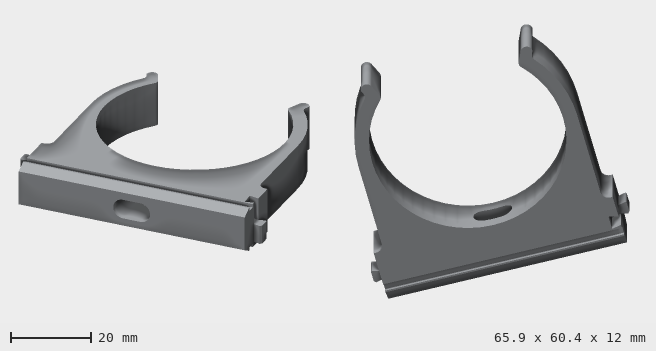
import cadquery as cq
import math


thickness = 12.0
base_width = 61.6
base_height = 14.0
half_thickness = thickness / 2
half_base = base_width / 2

bore_radius = 24.6
arm_thickness = 3.6
arm_radius = bore_radius + arm_thickness
bore_center_y = 38.6
shoulder_fillet = 2.0

total_height = 60.41
lip_radius = 1.5
lip_center_x = 20.6
lip_center_y = total_height - lip_radius
lead_in_angle = 21.5
throat_half_width = 17.6
throat_fillet = 1.2
lip_end_angle = -8.0
neck_x = 21.6
neck_top_y = 57.8
neck_top_fillet = 1.6
neck_bottom_fillet = 0.8

chamfer_length = 2.65
chamfer_depth = 1.4
groove_front = 3.1
groove_width = 1.85
groove_depth = 0.9

screw_slot_length = 10.0
screw_slot_height = 5.2

joint_y = 7.1
joint_neck_width = 2.5
tongue_tip_width = 3.4
tongue_reach = 2.15
tongue_height = 5.0
tongue_front_chamfer = 0.5
tongue_rear_chamfer = 0.25
socket_depth = 2.45
socket_back_width = 3.5

overlap = 0.5


def on_circle(center_x, center_y, radius, angle):
    """Point on a circle at an angle in degrees from +X."""
    turn = math.radians(angle)
    return (center_x + radius * math.cos(turn), center_y + radius * math.sin(turn))


def circle_y(radius, x):
    """Upper Y of a circle about the bore centre at a given X."""
    return bore_center_y + math.sqrt(radius**2 - x**2)


def make_body():
    """Base and arms: a symmetric outline extruded through the full thickness, with the bore cut out."""
    neck_bottom = (neck_x, circle_y(arm_radius, neck_x))
    neck_top = (neck_x, neck_top_y)
    neck_bottom_angle = math.degrees(math.atan2(neck_bottom[1] - bore_center_y, neck_x))
    lip_end = on_circle(lip_center_x, lip_center_y, lip_radius, lip_end_angle)
    lip_start_angle = 180 - lead_in_angle
    lip_start = on_circle(lip_center_x, lip_center_y, lip_radius, lip_start_angle)
    lip_middle_angle = (lip_start_angle + lip_end_angle) / 2
    throat = (throat_half_width, circle_y(bore_radius, throat_half_width))

    body = (
        cq.Workplane("XY")
        .workplane(offset=-half_thickness)
        .moveTo(0, 0)
        .lineTo(half_base, 0)
        .lineTo(half_base, base_height)
        .lineTo(arm_radius, base_height)
        .lineTo(arm_radius, bore_center_y)
        .threePointArc(on_circle(0, bore_center_y, arm_radius, neck_bottom_angle / 2), neck_bottom)
        .lineTo(*neck_top)
        .lineTo(*lip_end)
        .threePointArc(on_circle(lip_center_x, lip_center_y, lip_radius, lip_middle_angle), lip_start)
        .lineTo(*throat)
        .lineTo(0, throat[1])
        .mirrorY()
        .extrude(thickness)
    )
    bore = (
        cq.Workplane("XY")
        .workplane(offset=-half_thickness)
        .center(0, bore_center_y)
        .circle(bore_radius)
        .extrude(thickness)
    )
    body = body.cut(bore)
    rounded_corners = (
        ((arm_radius, base_height), shoulder_fillet),
        (neck_bottom, neck_bottom_fillet),
        (neck_top, neck_top_fillet),
        (throat, throat_fillet),
    )
    for (x, y), radius in rounded_corners:
        for side in (1, -1):
            body = fillet_vertical_edge(body, (side * x, y), radius)
    return body


def fillet_vertical_edge(body, point, radius):
    """Round the Z-parallel edge nearest to an XY point."""
    selector = cq.selectors.NearestToPointSelector((point[0], point[1], 0))
    return body.edges("|Z").edges(selector).fillet(radius)


def make_rail_cutter():
    """Chamfer wedge and groove of the top face, along the whole base."""
    wedge = (
        cq.Workplane("YZ")
        .polyline([
            (0, half_thickness - chamfer_depth),
            (chamfer_length, half_thickness),
            (0, half_thickness),
        ])
        .close()
        .extrude(half_base, both=True)
    )
    groove = (
        cq.Workplane("XY")
        .box(base_width, groove_width, 2 * groove_depth)
        .translate((0, groove_front + groove_width / 2, half_thickness))
    )
    return wedge.union(groove)


def make_screw_slot():
    """Slot running from the front face through to the bore."""
    return (
        cq.Workplane("XZ")
        .slot2D(screw_slot_length, screw_slot_height)
        .extrude(-bore_center_y)
    )


def make_tongue():
    """Dovetail tongue on the +X side, in the lower half of the thickness."""
    root_x = half_base - overlap
    tip_x = half_base + tongue_reach
    rear_tip = joint_y + tongue_tip_width / 2
    front_tip = joint_y - tongue_tip_width / 2
    rear_neck = joint_y + joint_neck_width / 2
    front_neck = joint_y - joint_neck_width / 2
    return (
        cq.Workplane("XY")
        .workplane(offset=-tongue_height)
        .polyline([
            (root_x, front_neck),
            (half_base, front_neck),
            (tip_x - tongue_front_chamfer, front_tip),
            (tip_x, front_tip + tongue_front_chamfer),
            (tip_x, rear_tip - tongue_rear_chamfer),
            (tip_x - tongue_rear_chamfer, rear_tip),
            (half_base, rear_neck),
            (root_x, rear_neck),
        ])
        .close()
        .extrude(tongue_height)
    )


def make_socket():
    """Dovetail socket on the +X side, open through the top face."""
    back_x = half_base - socket_depth
    mouth_x = half_base + overlap
    half_mouth = joint_neck_width / 2
    half_back = socket_back_width / 2
    return (
        cq.Workplane("XY")
        .polyline([
            (back_x, joint_y - half_back),
            (half_base, joint_y - half_mouth),
            (mouth_x, joint_y - half_mouth),
            (mouth_x, joint_y + half_mouth),
            (half_base, joint_y + half_mouth),
            (back_x, joint_y + half_back),
        ])
        .close()
        .extrude(half_thickness)
    )


def half_turn(shape):
    """Turn a shape 180 degrees about the Y axis, swapping sides and faces."""
    return shape.rotate((0, 0, 0), (0, 1, 0), 180)


clip = make_body()
clip = clip.cut(make_screw_slot())
rail_cutter = make_rail_cutter()
socket = make_socket()
tongue = make_tongue()
for cutter in (rail_cutter, socket):
    clip = clip.cut(cutter).cut(half_turn(cutter))
result = clip.union(tongue).union(half_turn(tongue))